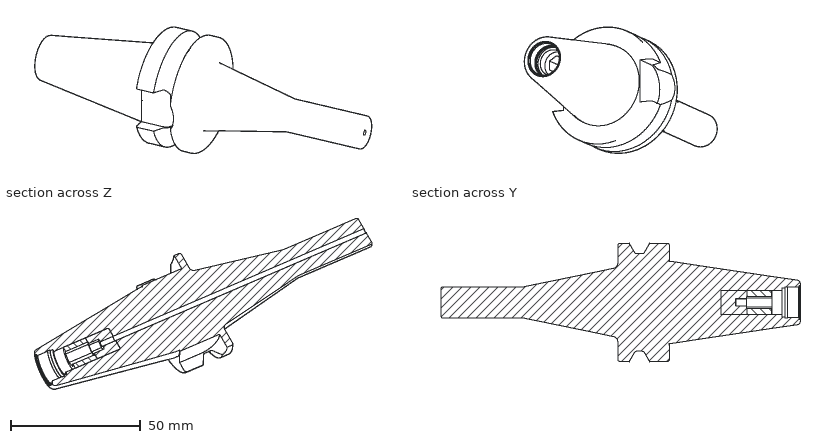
import cadquery as cq
import math

LENGTH = 138.4

TAPER_SLOPE = 7 / 24 / 2
NECK_DIA = 32.0
NECK_START = 49.1
TAPER_END_ROUND = 1.5

FLANGE_DIA = 46.0
FLANGE_START = 50.4
FLANGE_END = 70.5
RELIEF_DIA = 33.8
RELIEF_DEPTH = 0.3
FLANGE_ROUND = 1.0
GROOVE_CENTER = 62.0
GROOVE_WIDTH = 7.8
GROOVE_DIA = 38.0
GROOVE_FLANK_ANGLE = 30
GROOVE_FILLET = 0.7

NOSE_DIA = 13.1
NOSE_START = 106.4
NOSE_ROUND = 0.7
CONE_BASE_DIA = 27.5
CONE_FILLET = 1.8

SLOT_WIDTH = 16.6
SLOT_FLOOR = 16.5
SLOT_END = 67.5
SLOT_OVERCUT = 1.4

RECESS_DIA = 13.8
RECESS_DEPTH = 0.4
MOUTH_DIA = 13.1
PILOT_DIA = 12.5
PILOT_END = 5.0
BORE_GROOVE_DIA = 12.7
BORE_GROOVE_END = 6.0
THREAD_DIA = 12.0
THREAD_END = 7.0
SCREW_DIA = 10.1
COOLANT_DIA = 2.0

CLAMP_SCREW_START = 11.1
CLAMP_SCREW_LENGTH = 9.7
CLAMP_HEX = 6.1
STOP_SCREW_LENGTH = 9.7
STOP_HEX = 4.7
STOP_HEX_DEPTH = 4.2

CLAMP_SCREW_END = CLAMP_SCREW_START + CLAMP_SCREW_LENGTH
STOP_SCREW_END = CLAMP_SCREW_END + STOP_SCREW_LENGTH


def cylinder_x(diameter, start, end):
    """A cylinder on the X axis between two X positions."""
    return cq.Workplane("YZ", origin=(start, 0, 0)).circle(diameter / 2).extrude(end - start)


def hexagon_x(across_flats, start, end):
    """A hexagonal prism on the X axis, with flats facing +Y and -Y."""
    half_corner_angle = 180 / 6
    corner_circle_dia = across_flats / math.cos(math.radians(half_corner_angle))
    prism = cq.Workplane("YZ", origin=(start, 0, 0)).polygon(6, corner_circle_dia).extrude(end - start)
    return prism.rotate((0, 0, 0), (1, 0, 0), half_corner_angle)


def round_edge(body, x, radius, fillet_radius):
    """Fillets the circular edge of a given radius around the X axis at a given X position."""
    tolerance = 0.01

    def is_wanted(edge):
        at_place = abs(edge.Center().x - x) < tolerance
        return at_place and abs(edge.radius() - radius) < tolerance

    wanted = [edge for edge in body.edges("%CIRCLE").vals() if is_wanted(edge)]
    return body.newObject(wanted).fillet(fillet_radius)


def turned_blank():
    """The holder's turned outside: taper, neck, flange with V groove, cone and nose."""
    neck_r = NECK_DIA / 2
    flange_r = FLANGE_DIA / 2
    groove_r = GROOVE_DIA / 2
    nose_r = NOSE_DIA / 2
    taper_end_r = neck_r - NECK_START * TAPER_SLOPE
    groove_top = GROOVE_WIDTH / 2
    groove_bottom = groove_top - (flange_r - groove_r) * math.tan(math.radians(GROOVE_FLANK_ANGLE))

    blank = (
        cq.Workplane("XY")
        .moveTo(0, 0)
        .lineTo(0, taper_end_r)
        .lineTo(NECK_START, neck_r)
        .lineTo(FLANGE_START + RELIEF_DEPTH, neck_r)
        .lineTo(FLANGE_START, RELIEF_DIA / 2)
        .lineTo(FLANGE_START, flange_r)
        .lineTo(GROOVE_CENTER - groove_top, flange_r)
        .lineTo(GROOVE_CENTER - groove_bottom, groove_r)
        .lineTo(GROOVE_CENTER + groove_bottom, groove_r)
        .lineTo(GROOVE_CENTER + groove_top, flange_r)
        .lineTo(FLANGE_END, flange_r)
        .lineTo(FLANGE_END, CONE_BASE_DIA / 2)
        .lineTo(NOSE_START, nose_r)
        .lineTo(LENGTH, nose_r)
        .lineTo(LENGTH, 0)
        .close()
        .revolve(360, (0, 0, 0), (1, 0, 0))
    )
    blank = round_edge(blank, 0, taper_end_r, TAPER_END_ROUND)
    blank = round_edge(blank, GROOVE_CENTER - groove_bottom, groove_r, GROOVE_FILLET)
    blank = round_edge(blank, GROOVE_CENTER + groove_bottom, groove_r, GROOVE_FILLET)
    blank = round_edge(blank, FLANGE_END, CONE_BASE_DIA / 2, CONE_FILLET)
    blank = round_edge(blank, FLANGE_START, flange_r, FLANGE_ROUND)
    blank = round_edge(blank, LENGTH, nose_r, NOSE_ROUND)
    return round_edge(blank, FLANGE_END, flange_r, FLANGE_ROUND)


def drive_slot(side):
    """Cutter for one drive slot; side is +1 or -1 along Y."""
    half_width = SLOT_WIDTH / 2
    end_center = SLOT_END - half_width
    depth = FLANGE_DIA / 2 - SLOT_FLOOR + SLOT_OVERCUT
    floor = cq.Workplane(cq.Plane((0, side * SLOT_FLOOR, 0), (1, 0, 0), (0, side, 0)))
    return (
        floor.moveTo(NECK_START, -half_width)
        .lineTo(end_center, -half_width)
        .threePointArc((SLOT_END, 0), (end_center, half_width))
        .lineTo(NECK_START, half_width)
        .close()
        .extrude(depth)
    )


def bore():
    """Cutter for the stepped bore from the taper end, the screw seat and the coolant hole."""
    pilot_r = PILOT_DIA / 2
    thread_r = THREAD_DIA / 2
    screw_r = SCREW_DIA / 2
    coolant_r = COOLANT_DIA / 2
    mouth_r = MOUTH_DIA / 2
    cone_end = RECESS_DEPTH + mouth_r - pilot_r
    return (
        cq.Workplane("XY")
        .moveTo(0, 0)
        .lineTo(0, RECESS_DIA / 2)
        .lineTo(RECESS_DEPTH, RECESS_DIA / 2)
        .lineTo(RECESS_DEPTH, mouth_r)
        .lineTo(cone_end, pilot_r)
        .lineTo(PILOT_END, pilot_r)
        .lineTo(PILOT_END, BORE_GROOVE_DIA / 2)
        .lineTo(BORE_GROOVE_END, BORE_GROOVE_DIA / 2)
        .lineTo(BORE_GROOVE_END, thread_r)
        .lineTo(THREAD_END, thread_r)
        .lineTo(THREAD_END, screw_r)
        .lineTo(STOP_SCREW_END, screw_r)
        .lineTo(STOP_SCREW_END, coolant_r)
        .lineTo(LENGTH, coolant_r)
        .lineTo(LENGTH, 0)
        .close()
        .revolve(360, (0, 0, 0), (1, 0, 0))
    )


def make_holder():
    """The tool holder with its drive slots and stepped bore."""
    holder = turned_blank()
    for side in (1, -1):
        holder = holder.cut(drive_slot(side))
    return holder.cut(bore())


def make_clamp_screw():
    """The screw nearer the taper end, with a hexagonal hole right through."""
    body = cylinder_x(SCREW_DIA, CLAMP_SCREW_START, CLAMP_SCREW_END)
    return body.cut(hexagon_x(CLAMP_HEX, CLAMP_SCREW_START, CLAMP_SCREW_END))


def make_stop_screw():
    """The screw at the bottom of the seat, with a hex socket and a coolant hole."""
    body = cylinder_x(SCREW_DIA, CLAMP_SCREW_END, STOP_SCREW_END)
    body = body.cut(hexagon_x(STOP_HEX, CLAMP_SCREW_END, CLAMP_SCREW_END + STOP_HEX_DEPTH))
    return body.cut(cylinder_x(COOLANT_DIA, CLAMP_SCREW_END, STOP_SCREW_END))


holder = make_holder()
clamp_screw = make_clamp_screw()
stop_screw = make_stop_screw()
result = cq.Compound.makeCompound([holder.val(), clamp_screw.val(), stop_screw.val()])